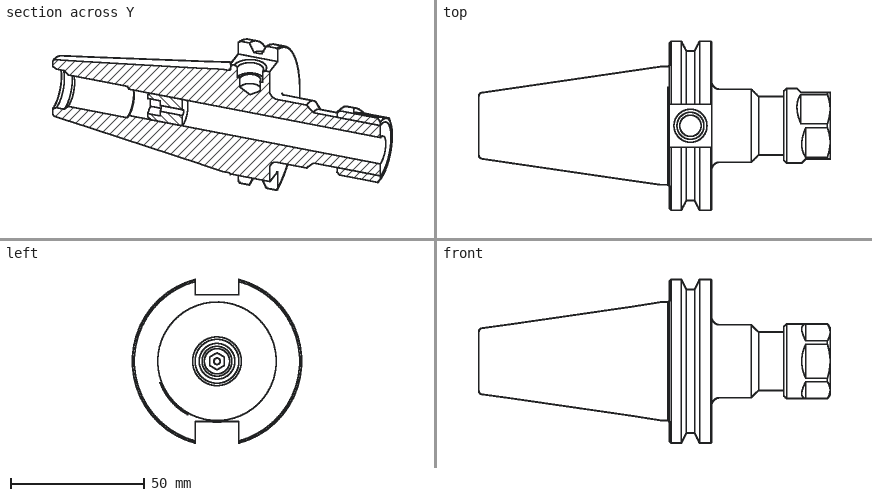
import cadquery as cq
import math


gauge_diameter = 44.45
taper_length = 68.25
taper_per_length = 7 / 24
shank_rim_radius = 1.4

flange_diameter = 63.5
flange_start = 3.18
flange_end = 19.05
flange_back_chamfer = 0.75
flange_front_chamfer = 0.4
flange_root_fillet = 0.6
groove_centre = 11.11
groove_floor_diameter = 56.3
groove_floor_width = 3.1
groove_mouth_width = 6.8

slot_width = 16.26
upper_slot_floor = 25.0
lower_slot_floor = 22.6

dimple_mouth_diameter = 12.4
dimple_diameter = 10.13
dimple_depth = 5.1
dimple_drill_diameter = 8.0
dimple_drill_depth = 4.0
drill_tip_angle = 118

nose_diameter = 27.43
nose_fillet = 3.0
nose_end = 33.9
neck_diameter = 22.0

bore_mouth_diameter = 18.3
pilot_diameter = 16.46
bore_mouth_angle = 60
pilot_depth = 4.75
pilot_floor_angle = 90
stud_bore_diameter = 13.39
stud_bore_depth = 30.0
screw_diameter = 11.18

screw_start = -30.0
screw_length = 14.0
screw_face_diameter = 9.46
screw_hole_diameter = 2.29
socket_across_flats = 5.5
socket_sides = 6
socket_depth = 5.0

nut_diameter = 28.0
nut_end = 63.51
nut_length = 17.5
nut_back_chamfer = 1.1
nut_across_flats = 25.0
nut_front_face_diameter = 24.8
nut_front_chamfer_angle = 33
short_flat_length = 9.2
long_flat_length = 11.0
flat_count = 6
flat_runout = 1.5


def turned(points):
    """Solid of revolution about X from (x, radius) points of a half profile."""
    return cq.Workplane("XY").polyline(points).close().revolve(360, (0, 0, 0), (1, 0, 0))


def rod(start, end, diameter):
    """Cylinder along X between two stations."""
    return cq.Workplane("YZ", origin=(start, 0, 0)).circle(diameter / 2).extrude(end - start)


def cone_length(included_angle, large_diameter, small_diameter=0.0):
    """Axial length of a cone between two diameters."""
    return (large_diameter - small_diameter) / 2 / math.tan(math.radians(included_angle / 2))


def make_holder_blank():
    gauge_radius = gauge_diameter / 2
    flange_radius = flange_diameter / 2
    groove_radius = groove_floor_diameter / 2
    nose_radius = nose_diameter / 2
    neck_radius = neck_diameter / 2
    small_end_radius = gauge_radius - taper_length * taper_per_length / 2

    taper_angle = math.atan(taper_per_length / 2)
    tangent_length = shank_rim_radius * math.tan(math.pi / 4 - taper_angle / 2)
    rim_face_radius = small_end_radius - tangent_length
    rim_end = (
        -taper_length + tangent_length * math.cos(taper_angle),
        small_end_radius + tangent_length * math.sin(taper_angle),
    )
    fillet_centre = (flange_end + nose_fillet, nose_radius + nose_fillet)
    fillet_middle = (
        fillet_centre[0] - nose_fillet * math.sqrt(0.5),
        fillet_centre[1] - nose_fillet * math.sqrt(0.5),
    )
    profile = (
        cq.Workplane("XY")
        .moveTo(-taper_length, 0)
        .lineTo(-taper_length, rim_face_radius)
        .tangentArcPoint(rim_end, relative=False)
        .lineTo(0, gauge_radius)
        .lineTo(flange_start - flange_root_fillet, gauge_radius)
        .tangentArcPoint((flange_start, gauge_radius + flange_root_fillet), relative=False)
        .lineTo(flange_start, flange_radius - flange_back_chamfer)
        .lineTo(flange_start + flange_back_chamfer, flange_radius)
        .lineTo(groove_centre - groove_mouth_width / 2, flange_radius)
        .lineTo(groove_centre - groove_floor_width / 2, groove_radius)
        .lineTo(groove_centre + groove_floor_width / 2, groove_radius)
        .lineTo(groove_centre + groove_mouth_width / 2, flange_radius)
        .lineTo(flange_end - flange_front_chamfer, flange_radius)
        .lineTo(flange_end, flange_radius - flange_front_chamfer)
        .lineTo(flange_end, fillet_centre[1])
        .threePointArc(fillet_middle, (fillet_centre[0], nose_radius))
        .lineTo(nose_end, nose_radius)
        .lineTo(nose_end + nose_radius - neck_radius, neck_radius)
        .lineTo(nut_end, neck_radius)
        .lineTo(nut_end, 0)
        .close()
    )
    return profile.revolve(360, (0, 0, 0), (1, 0, 0))


def make_slot_cutter(floor, side):
    """Block beyond a slot floor; side is +1 for the upper slot, -1 for the lower."""
    height = flange_diameter / 2
    return cq.Workplane("XY").box(
        flange_end - flange_start, slot_width, height
    ).translate(((flange_start + flange_end) / 2, 0, side * (floor + height / 2)))


def make_dimple_cutter():
    mouth_depth = cone_length(drill_tip_angle, dimple_mouth_diameter, dimple_diameter)
    drill_end = dimple_depth + dimple_drill_depth
    half_profile = [
        (0, 0),
        (dimple_mouth_diameter / 2, 0),
        (dimple_diameter / 2, -mouth_depth),
        (dimple_diameter / 2, -dimple_depth),
        (dimple_drill_diameter / 2, -dimple_depth),
        (dimple_drill_diameter / 2, -drill_end),
        (0, -drill_end - cone_length(drill_tip_angle, dimple_drill_diameter)),
    ]
    cutter = cq.Workplane("XZ").polyline(half_profile).close().revolve(360, (0, 0, 0), (0, 1, 0))
    return cutter.translate(((flange_start + flange_end) / 2, 0, upper_slot_floor))


def make_bore_cutter():
    start = -taper_length
    mouth_depth = cone_length(bore_mouth_angle, bore_mouth_diameter, pilot_diameter)
    pilot_end = start + pilot_depth
    pilot_cone_end = pilot_end + cone_length(pilot_floor_angle, pilot_diameter, stud_bore_diameter)
    stud_bore_end = start + stud_bore_depth
    stud_cone_end = stud_bore_end + cone_length(drill_tip_angle, stud_bore_diameter, screw_diameter)
    return turned([
        (start, 0),
        (start, bore_mouth_diameter / 2),
        (start + mouth_depth, pilot_diameter / 2),
        (pilot_end, pilot_diameter / 2),
        (pilot_cone_end, stud_bore_diameter / 2),
        (stud_bore_end, stud_bore_diameter / 2),
        (stud_cone_end, screw_diameter / 2),
        (nut_end, screw_diameter / 2),
        (nut_end, 0),
    ])


def make_holder():
    return (
        make_holder_blank()
        .cut(make_slot_cutter(upper_slot_floor, 1))
        .cut(make_slot_cutter(lower_slot_floor, -1))
        .cut(make_dimple_cutter())
        .cut(make_bore_cutter())
    )


def make_stop_screw():
    end = screw_start + screw_length
    face_chamfer = (screw_diameter - screw_face_diameter) / 2
    body = rod(screw_start, end, screw_diameter).faces("<X").chamfer(face_chamfer)
    socket = (
        cq.Workplane("YZ", origin=(screw_start, 0, 0))
        .polygon(socket_sides, socket_across_flats, circumscribed=True)
        .extrude(socket_depth)
    )
    return body.cut(socket).cut(rod(screw_start, end, screw_hole_diameter))


def make_flat_cutter(length, angle):
    """Removes one wrench flat, with a sloping runout at its back, turned by angle from +Y about X."""
    flat_radius = nut_across_flats / 2
    outside_radius = nut_diameter
    runout_height = nut_diameter / 2 - flat_radius
    flat_back = nut_end - length
    side_profile = [
        (nut_end, flat_radius),
        (flat_back, flat_radius),
        (flat_back - flat_runout, flat_radius + runout_height),
        (flat_back - flat_runout, outside_radius),
        (nut_end, outside_radius),
    ]
    cutter = cq.Workplane("XY").polyline(side_profile).close().extrude(nut_diameter / 2, both=True)
    return cutter.rotate((0, 0, 0), (1, 0, 0), angle)


def make_nut():
    back = nut_end - nut_length
    radius = nut_diameter / 2
    face_radius = nut_front_face_diameter / 2
    bore_radius = neck_diameter / 2
    front_chamfer_length = (radius - face_radius) * math.tan(math.radians(nut_front_chamfer_angle))
    nut = turned([
        (back, bore_radius),
        (back, radius - nut_back_chamfer),
        (back + nut_back_chamfer, radius),
        (nut_end - front_chamfer_length, radius),
        (nut_end, face_radius),
        (nut_end, bore_radius),
    ])
    for index in range(flat_count):
        angle = index * 360 / flat_count
        faces_plus_y = math.cos(math.radians(angle)) > 0
        length = long_flat_length if faces_plus_y else short_flat_length
        nut = nut.cut(make_flat_cutter(length, angle))
    return nut


holder = make_holder()
stop_screw = make_stop_screw()
nut = make_nut()

result = cq.Compound.makeCompound([holder.val(), stop_screw.val(), nut.val()])